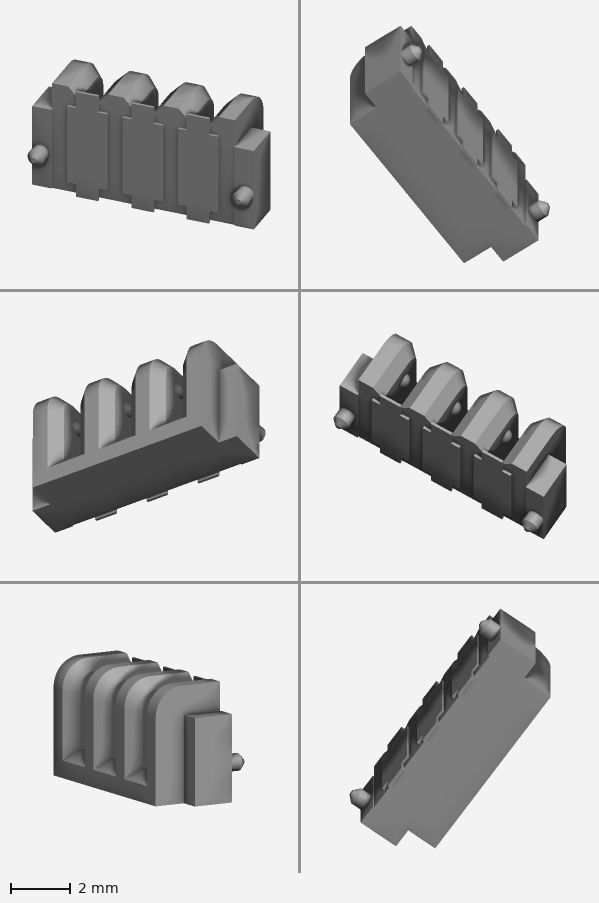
import cadquery as cq


overall_width = 8.0
body_width = 6.6
body_depth = 2.5
body_height = 4.0
back_radius = 1.0

ear_width = (overall_width - body_width) / 2
ear_back = 1.4
ear_height = 3.0
ear_proud = 0.05

pin_diameter = 0.6
pin_length = 0.6
pin_taper = 0.2
pin_height = 1.3

pitch = 2.0
slot_centers = [-pitch, 0, pitch]
slot_width = 0.65
slot_floor = 1.0
mouth_chamfer = 0.4

metal_thickness = 0.1
plate_overhang = 0.1
plate_narrow_width = 0.8
plate_wide_width = 1.43
plate_wide_bottom = 0.38
plate_wide_top = 3.3
strip_back = 1.86
bump_radius = 0.28
bump_reach = 0.2
bump_y = 1.3
bump_z = 2.82

SELECT_MARGIN = 0.04


def block(width, y_front, y_back, z_bottom, z_top, x_center=0):
    """Rectangular block between the given faces, centred on x_center."""
    return (
        cq.Workplane("XY")
        .box(width, y_back - y_front, z_top - z_bottom, centered=(True, False, False))
        .translate((x_center, y_front, z_bottom))
    )


def make_body():
    """Main housing block with its upper back edge rounded."""
    return block(body_width, 0, body_depth, 0, body_height).edges(">Y and >Z").fillet(back_radius)


def cut_slot(body, x_center):
    """Cut one through slot and chamfer its mouth along the top, the rounding and the back."""
    body = body.cut(block(slot_width, 0, body_depth, slot_floor, body_height, x_center))
    x_reach = slot_width / 2 + SELECT_MARGIN
    side_edges = cq.selectors.BoxSelector(
        (x_center - x_reach, SELECT_MARGIN, slot_floor + SELECT_MARGIN),
        (x_center + x_reach, body_depth + SELECT_MARGIN, body_height + SELECT_MARGIN),
    )
    floor_edge = cq.selectors.BoxSelector(
        (x_center - SELECT_MARGIN, body_depth - SELECT_MARGIN, slot_floor - SELECT_MARGIN),
        (x_center + SELECT_MARGIN, body_depth + SELECT_MARGIN, slot_floor + SELECT_MARGIN),
    )
    return body.edges(side_edges + floor_edge).chamfer(mouth_chamfer)


def make_plate(x_center):
    """Flat contact plate on the front face, widened over its middle stretch."""
    narrow = block(
        plate_narrow_width, -metal_thickness, 0, -plate_overhang, body_height - plate_overhang, x_center
    )
    wide = block(plate_wide_width, -metal_thickness, 0, plate_wide_bottom, plate_wide_top, x_center)
    return narrow.union(wide)


def make_floor_strip(x_center):
    """Contact strip on the slot floor, bevelled at the front end."""
    strip = block(slot_width, 0, strip_back, slot_floor, slot_floor + metal_thickness, x_center)
    bevel = (
        cq.Workplane("YZ")
        .moveTo(0, slot_floor)
        .lineTo(metal_thickness, slot_floor + metal_thickness)
        .lineTo(0, slot_floor + metal_thickness)
        .close()
        .extrude(slot_width / 2, both=True)
        .translate((x_center, 0, 0))
    )
    return strip.cut(bevel)


def make_bump(x_center, side):
    """Spherical contact bump on one wall of a slot; side is -1 or 1."""
    bump = (
        cq.Workplane("XZ")
        .lineTo(bump_radius, 0)
        .radiusArc((0, bump_radius), -bump_radius)
        .close()
        .revolve(360, (0, 0, 0), (1, 0, 0))
        .rotate((0, 0, 0), (0, 0, 1), 90 + side * 90)
    )
    x_bump = x_center + side * (slot_width / 2 + bump_radius - bump_reach)
    return bump.translate((x_bump, bump_y, bump_z))


def make_ear(side):
    """End ear with its taper-ended locating pin; side is -1 or 1."""
    ear_center = side * (body_width + ear_width) / 2
    pin_center = side * (overall_width - pin_diameter) / 2
    pin = (
        cq.Workplane("XZ", origin=(pin_center, -ear_proud, pin_height))
        .circle(pin_diameter / 2)
        .extrude(pin_length)
        .faces("<Y")
        .chamfer(pin_taper)
    )
    return block(ear_width, -ear_proud, ear_back, 0, ear_height, ear_center).union(pin)


result = make_body()
for slot_x in slot_centers:
    result = cut_slot(result, slot_x)
for slot_x in slot_centers:
    result = result.union(make_plate(slot_x)).union(make_floor_strip(slot_x))
    for wall in (-1, 1):
        result = result.union(make_bump(slot_x, wall))
for end in (-1, 1):
    result = result.union(make_ear(end))